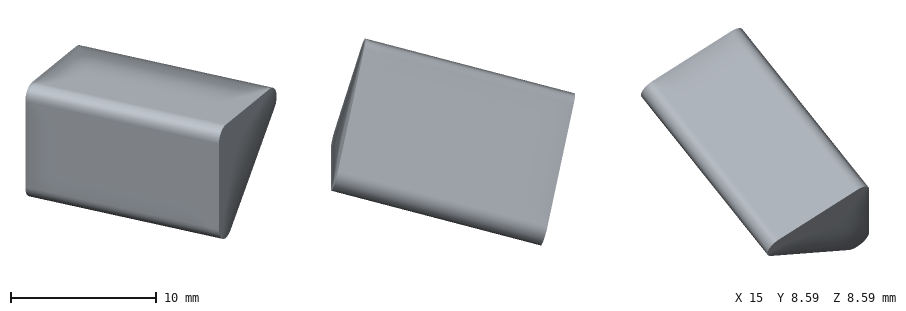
import cadquery as cq

length = 15.0
leg = 10.0
edge_radius = 1.0

section = (
    cq.Workplane("YZ")
    .moveTo(0, 0)
    .lineTo(leg, 0)
    .lineTo(0, -leg)
    .close()
)

prism = section.extrude(length / 2, both=True)
result = prism.edges("|X").fillet(edge_radius)